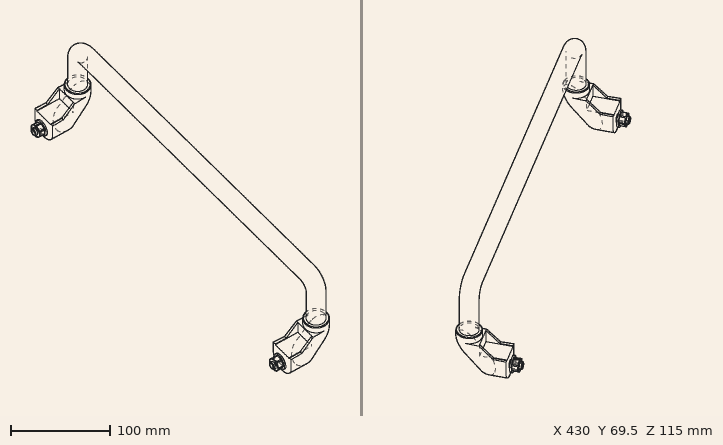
import cadquery as cq
overall_length = 430.0
overall_height = 115.0
overall_depth = 69.5

tube_diameter = 20.0
bend_radius = 15.0

collar_diameter = 27.0
collar_top = 50.5
collar_chamfer = 1.0
collar_back_bottom = 43.5

foot_width = 30.0
foot_top = 29.0
shoulder_height = 42.5
face_distance = 42.5
shoulder_front = 14.0
knee_distance = 29.0
heel_distance = 26.5
pocket_width = 23.2
pocket_floor = 28.0
rim_thickness = 1.5

stud_diameter = 8.0
stud_chamfer = 1.0
washer_diameter = 18.0
washer_thickness = 1.7
washer_gap = 2.0
nut_across_flats = 13.0
nut_diameter = 14.0
nut_thickness = 6.0
nut_rim_thickness = 1.0
left_nut_turn = 0.0
right_nut_turn = 30.0

clearance = 4.5

post_x = (overall_length - foot_width) / 2
bar_height = overall_height - tube_diameter / 2
collar_radius = collar_diameter / 2
foot_radius = foot_width / 2
stud_tip = overall_depth - collar_radius
stud_height = foot_radius


def make_tube():
    """Bent tube, swept from the left collar up, across and down to the right one."""
    path = (
        cq.Workplane("XZ")
        .moveTo(-post_x, collar_top)
        .lineTo(-post_x, bar_height - bend_radius)
        .radiusArc((-post_x + bend_radius, bar_height), bend_radius)
        .lineTo(post_x - bend_radius, bar_height)
        .radiusArc((post_x, bar_height - bend_radius), bend_radius)
        .lineTo(post_x, collar_top)
    )
    section = cq.Workplane("XY", origin=(-post_x, 0, collar_top)).circle(tube_diameter / 2)
    return section.sweep(path)


def make_foot():
    """Foot centred on x = 0, with the collar axis at y = 0."""
    body = (
        cq.Workplane("XZ")
        .moveTo(-foot_radius, shoulder_height)
        .lineTo(-foot_radius, stud_height)
        .threePointArc((0, 0), (foot_radius, stud_height))
        .lineTo(foot_radius, shoulder_height)
        .close()
        .extrude(face_distance)
    )

    taper = (foot_radius - collar_radius) / (face_distance - rim_thickness)
    face_half_width = collar_radius + taper * face_distance
    plan = (
        cq.Workplane("XY")
        .moveTo(-face_half_width, -face_distance)
        .lineTo(-collar_radius, 0)
        .lineTo(collar_radius, 0)
        .lineTo(face_half_width, -face_distance)
        .close()
        .extrude(shoulder_height)
    )
    body = body.intersect(plan)

    collar = cq.Workplane("XY", origin=(0, 0, stud_height)).transformed(rotate=(0, 0, -90))
    collar = collar.circle(collar_radius)
    collar = collar.extrude(collar_top - stud_height).faces(">Z").chamfer(collar_chamfer)
    body = body.union(collar)

    back_slope = collar_back_bottom / (collar_radius + heel_distance)
    back = (
        cq.Workplane("YZ")
        .moveTo(-heel_distance - clearance / back_slope, -clearance)
        .lineTo(collar_radius + clearance, collar_back_bottom + clearance * back_slope)
        .lineTo(collar_radius + clearance, -clearance)
        .close()
        .extrude(foot_width, both=True)
    )
    body = body.cut(back)

    front = (
        cq.Workplane("YZ")
        .moveTo(-shoulder_front, shoulder_height)
        .lineTo(-knee_distance, foot_top)
        .lineTo(-face_distance - clearance, foot_top)
        .lineTo(-face_distance - clearance, shoulder_height)
        .close()
        .extrude(foot_width, both=True)
    )
    body = body.cut(front)

    pocket = (
        cq.Workplane("XZ", origin=(0, -shoulder_front, 0))
        .moveTo(0, (pocket_floor + shoulder_height) / 2)
        .rect(pocket_width, shoulder_height - pocket_floor)
        .extrude(face_distance)
    )
    return body.cut(pocket)


def make_fastener(nut_turn):
    """Stud with washer and nut, pointing forward from the mounting face."""

    def front_plane(distance):
        return cq.Workplane("XZ", origin=(0, -distance, stud_height))

    washer_back = face_distance + washer_gap
    nut_back = washer_back + washer_thickness
    stud_root = knee_distance
    stud = front_plane(stud_root).circle(stud_diameter / 2).extrude(stud_tip - stud_root)
    stud = stud.faces("<Y").chamfer(stud_chamfer)
    washer = front_plane(washer_back).circle(washer_diameter / 2).extrude(washer_thickness)
    nut = front_plane(nut_back).circle(nut_diameter / 2).extrude(nut_thickness)
    hexagon = front_plane(nut_back).polygon(6, nut_across_flats, circumscribed=True)
    hexagon = hexagon.extrude(nut_thickness)
    hexagon = hexagon.rotate((0, 0, stud_height), (0, 1, stud_height), nut_turn)
    nut = nut.intersect(hexagon)
    nut_rim = front_plane(nut_back + nut_thickness).circle(nut_diameter / 2).extrude(nut_rim_thickness)
    return stud.union(washer).union(nut).union(nut_rim)


foot = make_foot()
result = make_tube()
for side_sign, nut_turn in ((-1, left_nut_turn), (1, right_nut_turn)):
    mount = foot.union(make_fastener(nut_turn))
    result = result.union(mount.translate((side_sign * post_x, 0, 0)))